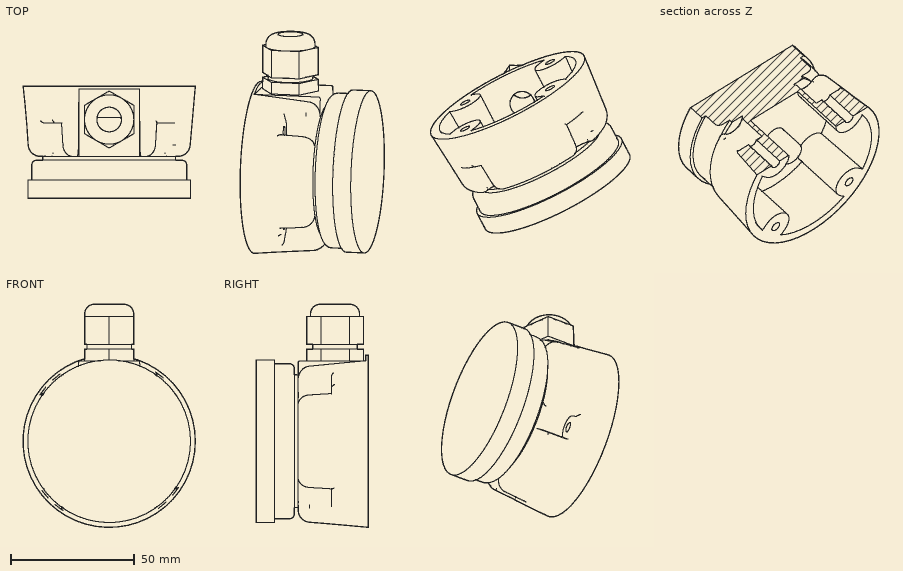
import cadquery as cq
import math

BACK_RADIUS = 35.0
HOUSING_DEPTH = 28.5
TAPER_ANGLE = 5.0
FRONT_EDGE_RADIUS = 5.0
WALL = 4.0

NECK_RADIUS = 27.0
NECK_LENGTH = 1.5
DISC_RADIUS = 31.5
DISC_LENGTH = 8.0
DISC_EDGE_RADIUS = 2.0
RIM_RADIUS = 33.0
RIM_LENGTH = 7.5

SHAFT_RADIUS = 5.0
SHAFT_END = 12.65
SHAFT_EDGE_RADIUS = 0.8

PAD_TOP_WIDTH = 24.6
PAD_TOP_Z = 32.6
PAD_HEIGHT = 16.3
PAD_BACK_INSET = 1.1
PAD_SIDE_DRAFT = 5.0
PAD_EDGE_RADIUS = 0.8

RECESS_ANGLES = (45, 135, 225, 315)
RECESS_RADIUS = 4.9
RECESS_CENTRE = 27.2
RECESS_BACK = 15.0
RECESS_EDGE_RADIUS = 1.4
RECESS_WALL = 2.0
SCREW_HOLE_RADIUS = 2.0

GLAND_BACK_DISTANCE = 13.5
HEX_ACROSS_FLATS = 20.0
BASE_HEX_HEIGHT = 4.8
GLAND_NECK_RADIUS = 9.1
GLAND_NECK_HEIGHT = 1.9
NUT_HEIGHT = 11.3
DOME_RADIUS = 10.0
DOME_HEIGHT = 5.0
DOME_EDGE_RADIUS = 4.0
CABLE_HOLE_RADIUS = 5.0

TOLERANCE = 0.01


def radius_at(depth):
    """Outer radius of the tapered housing at a given depth in front of its back rim."""
    return BACK_RADIUS - depth * math.tan(math.radians(TAPER_ANGLE))


def disc_along_y(radius, depth, length):
    """Cylinder on the Y axis whose back face lies at the given depth."""
    return cq.Workplane("XZ", origin=(0, -depth, 0)).circle(radius).extrude(length)


def cone_along_y(back_radius, front_radius, depth):
    """Solid cone frustum on the Y axis from y = 0 forward to the given depth."""
    profile = [(0, 0), (back_radius, 0), (front_radius, -depth), (0, -depth)]
    return cq.Workplane("XY").polyline(profile).close().revolve(360, (0, 0), (0, 1))


def around_recesses(shape):
    """Copies of a shape built on the +X side, turned to every recess angle."""
    copies = cq.Workplane("XY")
    for angle in RECESS_ANGLES:
        copies = copies.add(shape.rotate((0, 0, 0), (0, 1, 0), angle))
    return copies.combine()


def round_bottomed_slot(radius, depth, length):
    """Slot that opens toward +X, with a half-round bottom at the recess centre."""
    plane = cq.Workplane("XZ", origin=(RECESS_CENTRE, -depth, 0))
    bottom = plane.circle(radius).extrude(length)
    opening = plane.rect(BACK_RADIUS, 2 * radius).extrude(length)
    return bottom.union(opening.translate((BACK_RADIUS / 2, 0, 0)))


def is_outer_back_edge(edge):
    """True for the edge where the back wall of a recess meets the housing surface."""
    centre = edge.Center()
    on_back_wall = abs(centre.y + RECESS_BACK) < TOLERANCE
    return on_back_wall and math.hypot(centre.x, centre.z) > RECESS_CENTRE + RECESS_RADIUS


def make_outer_body():
    body = cone_along_y(BACK_RADIUS, radius_at(HOUSING_DEPTH), HOUSING_DEPTH)
    body = body.faces("<Y").edges().fillet(FRONT_EDGE_RADIUS)
    recess = round_bottomed_slot(RECESS_RADIUS, RECESS_BACK, HOUSING_DEPTH - RECESS_BACK)
    body = body.cut(around_recesses(recess))
    side_edges = body.edges("%HYPERBOLA or %BSPLINE").vals()
    back_edges = body.edges("%CIRCLE").filter(is_outer_back_edge).vals()
    return body.newObject(side_edges + back_edges).fillet(RECESS_EDGE_RADIUS)


def make_cavity():
    depth = HOUSING_DEPTH - WALL
    cavity = cone_along_y(BACK_RADIUS - WALL, radius_at(depth) - WALL, depth)
    posts = around_recesses(round_bottomed_slot(RECESS_RADIUS + RECESS_WALL, 0, depth))
    return cavity.cut(posts)


def make_pad():
    """Drafted block below the gland, rounded along its front top edge."""
    base_z = PAD_TOP_Z - PAD_HEIGHT
    half_top = PAD_TOP_WIDTH / 2
    half_base = half_top + PAD_HEIGHT * math.tan(math.radians(PAD_SIDE_DRAFT))
    outline = [(-half_base, base_z), (half_base, base_z), (half_top, PAD_TOP_Z), (-half_top, PAD_TOP_Z)]
    plane = cq.Workplane("XZ", origin=(0, -PAD_BACK_INSET, 0))
    pad = plane.polyline(outline).close().extrude(HOUSING_DEPTH - PAD_BACK_INSET)
    return pad.faces("<Y").edges(">Z").fillet(PAD_EDGE_RADIUS)


def make_pad_clearance():
    """Space above the pad, which trims the rounded housing flat behind the gland."""
    length = HOUSING_DEPTH - PAD_BACK_INSET
    clearance = cq.Workplane("XY").box(PAD_TOP_WIDTH, length, BACK_RADIUS, (True, False, False))
    return clearance.translate((0, -HOUSING_DEPTH, PAD_TOP_Z))


def make_button():
    disc_depth = HOUSING_DEPTH + NECK_LENGTH
    neck = disc_along_y(NECK_RADIUS, HOUSING_DEPTH, NECK_LENGTH)
    disc = disc_along_y(DISC_RADIUS, disc_depth, DISC_LENGTH)
    disc = disc.faces(">Y").edges().fillet(DISC_EDGE_RADIUS)
    rim = disc_along_y(RIM_RADIUS, disc_depth + DISC_LENGTH, RIM_LENGTH)
    shaft = disc_along_y(SHAFT_RADIUS, SHAFT_END, HOUSING_DEPTH - SHAFT_END)
    shaft = shaft.faces(">Y").edges().fillet(SHAFT_EDGE_RADIUS)
    return neck.union(disc).union(rim).union(shaft)


def hex_prism(height):
    """Hexagon with its corners toward +Y and -Y and its flats toward +X and -X."""
    corner_diameter = HEX_ACROSS_FLATS / math.cos(math.radians(30))
    return cq.Workplane("XY").polygon(6, corner_diameter).extrude(height).rotate((0, 0, 0), (0, 0, 1), 90)


def make_gland():
    neck_z = BASE_HEX_HEIGHT
    nut_z = neck_z + GLAND_NECK_HEIGHT
    dome_z = nut_z + NUT_HEIGHT
    neck = cq.Workplane("XY").circle(GLAND_NECK_RADIUS).extrude(GLAND_NECK_HEIGHT)
    dome = cq.Workplane("XY").circle(DOME_RADIUS).extrude(DOME_HEIGHT)
    dome = dome.faces(">Z").edges().fillet(DOME_EDGE_RADIUS)
    gland = hex_prism(BASE_HEX_HEIGHT)
    gland = gland.union(neck.translate((0, 0, neck_z)))
    gland = gland.union(hex_prism(NUT_HEIGHT).translate((0, 0, nut_z)))
    gland = gland.union(dome.translate((0, 0, dome_z)))
    return gland.translate((0, -GLAND_BACK_DISTANCE, PAD_TOP_Z))


def make_cable_hole():
    """Bore from the top of the gland down through the cavity to the shaft axis."""
    height = PAD_TOP_Z + BASE_HEX_HEIGHT + GLAND_NECK_HEIGHT + NUT_HEIGHT + DOME_HEIGHT
    plane = cq.Workplane("XY", origin=(0, -GLAND_BACK_DISTANCE, 0))
    return plane.circle(CABLE_HOLE_RADIUS).extrude(height)


def make_screw_holes():
    plane = cq.Workplane("XZ", origin=(RECESS_CENTRE, 0, 0))
    return around_recesses(plane.circle(SCREW_HOLE_RADIUS).extrude(RECESS_BACK))


housing = make_outer_body().cut(make_pad_clearance()).union(make_pad())
housing = housing.cut(make_cavity()).cut(make_screw_holes())
result = housing.union(make_gland()).cut(make_cable_hole()).union(make_button())